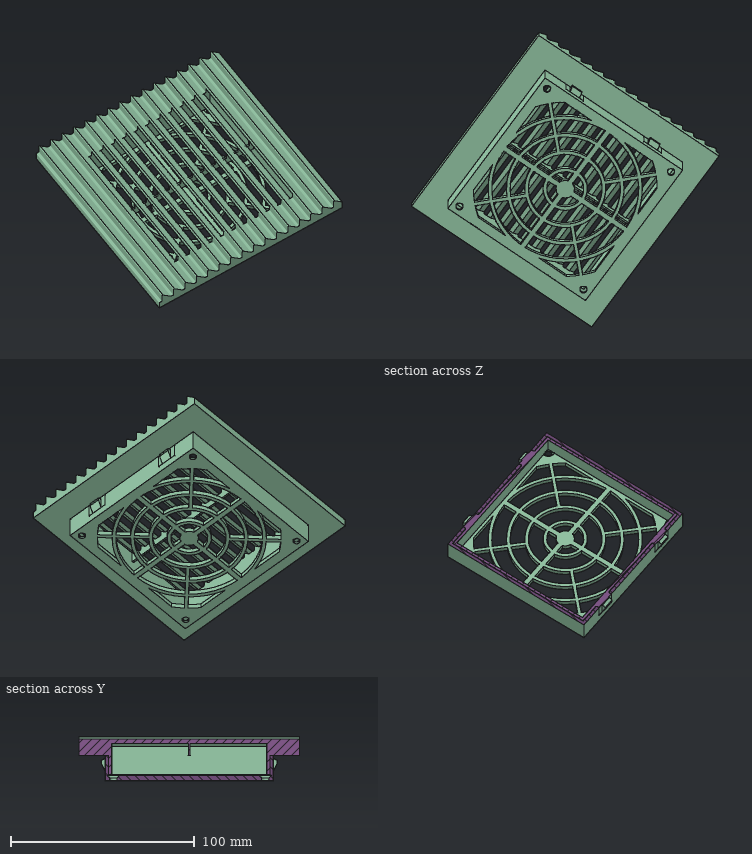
import cadquery as cq
PLATE_SIZE = 120.0
PLATE_BOTTOM = 13.7
PLATE_TOP = 18.7
TOTAL_HEIGHT = 24.0
OPENING = 84.0

TOOTH_COUNT = 16
TOOTH_PITCH = PLATE_SIZE / TOOTH_COUNT
TOOTH_DEPTH = 5.8
EDGE_RADIUS = 0.5
TIP_WIDTH = 0.7
TOOTH_RUN = TIP_WIDTH + TOTAL_HEIGHT - PLATE_TOP
BLADE_NOSE = 1.9
RIB_WIDTH = 1.0

BOX_SIZE = 91.5
BOX_WALL = 1.8
BOX_INNER = BOX_SIZE - 2 * BOX_WALL
FLOOR_TOP = 3.0
SKIRT_BOTTOM = 3.4

CLIP_OFFSET = 25.9
CLIP_WIDTH = 11.8
CLIP_BOTTOM = PLATE_BOTTOM - 8.6
CATCH_WIDTH = 6.2
CATCH_REACH = 2.2
CATCH_TOP = PLATE_BOTTOM - 1.5
CATCH_SHOULDER = PLATE_BOTTOM - 2.5
CATCH_EDGE = PLATE_BOTTOM - 4.1

AIR_HOLE_SIZE = 80.9
AIR_HOLE_RADIUS = 49.9
CROSS_BAR_WIDTH = 3.0
DIAGONAL_BAR_WIDTH = 2.0
RING_RADII = (11.0, 21.0, 31.0, 40.9)
RING_WIDTH = 2.0
DIAGONAL_START = RING_RADII[1]
HUB_RADIUS = 5.0

SCREW_OFFSET = 41.3
SCREW_RADIUS = 1.9
HEAD_RADIUS = 3.4


def slab(size_x, size_y, bottom, top):
    block = cq.Workplane("XY").box(size_x, size_y, top - bottom, centered=(True, True, False))
    return block.translate((0, 0, bottom))


def disc(radius, bottom, top):
    return cq.Workplane("XY").workplane(offset=bottom).circle(radius).extrude(top - bottom)


def tooth_front(index):
    return PLATE_SIZE / 2 - index * TOOTH_PITCH - TOOTH_DEPTH


def is_rounded(edge):
    center = edge.Center()
    if center.z < PLATE_TOP - EDGE_RADIUS or center.y > PLATE_SIZE / 2 - EDGE_RADIUS:
        return False
    fronts = [tooth_front(index) for index in range(TOOTH_COUNT)]
    return not any(abs(center.y - front - TIP_WIDTH) < TIP_WIDTH / 2 for front in fronts)


def toothed_plate():
    half = PLATE_SIZE / 2
    outline = [(-half, PLATE_BOTTOM), (half, PLATE_BOTTOM)]
    for index in range(TOOTH_COUNT):
        front = tooth_front(index)
        foot = min(front + TOOTH_RUN, half)
        outline.append((foot, PLATE_TOP + front + TOOTH_RUN - foot))
        outline.append((front + TIP_WIDTH, TOTAL_HEIGHT))
        outline.append((front, TOTAL_HEIGHT))
        outline.append((front, PLATE_TOP))
    outline.append((-half, PLATE_TOP))
    plate = cq.Workplane("YZ").polyline(outline).close().extrude(half, both=True)
    return plate.edges("|X").filter(is_rounded).fillet(EDGE_RADIUS)


def blade(front):
    nose_bottom = TOTAL_HEIGHT - BLADE_NOSE
    outline = [
        (front + TOOTH_RUN, PLATE_TOP),
        (front + TIP_WIDTH, TOTAL_HEIGHT),
        (front, TOTAL_HEIGHT),
        (front, nose_bottom),
        (front + nose_bottom - PLATE_TOP, PLATE_TOP),
    ]
    return cq.Workplane("YZ").polyline(outline).close().extrude(PLATE_SIZE / 2, both=True)


def louvre_opening():
    opening = slab(OPENING, OPENING, PLATE_BOTTOM, TOTAL_HEIGHT)
    opening = opening.cut(slab(RIB_WIDTH, OPENING, PLATE_BOTTOM, TOTAL_HEIGHT))
    for index in range(TOOTH_COUNT):
        opening = opening.cut(blade(tooth_front(index)))
    return opening


def clip_pad(y, wall_inside, wall_outside):
    pad = cq.Workplane("XY").box(wall_outside - wall_inside, CLIP_WIDTH, PLATE_BOTTOM - CLIP_BOTTOM,
                                 centered=(False, True, False))
    return pad.translate((wall_inside, y, CLIP_BOTTOM))


def clip(y):
    outside = BOX_SIZE / 2
    catch = (
        cq.Workplane("XZ", origin=(0, y, 0))
        .moveTo(outside, CLIP_BOTTOM)
        .lineTo(outside + CATCH_REACH, CATCH_EDGE)
        .lineTo(outside + CATCH_REACH, CATCH_SHOULDER)
        .lineTo(outside, CATCH_TOP)
        .close()
        .extrude(CATCH_WIDTH / 2, both=True)
    )
    return clip_pad(y, BOX_INNER / 2, outside).union(catch)


def make_cover():
    cover = toothed_plate().cut(louvre_opening())
    skirt = slab(BOX_INNER, BOX_INNER, SKIRT_BOTTOM, PLATE_BOTTOM)
    cover = cover.union(skirt.cut(slab(OPENING, OPENING, SKIRT_BOTTOM, PLATE_BOTTOM)))
    for y in (-CLIP_OFFSET, CLIP_OFFSET):
        cover = cover.union(clip(y)).union(clip(y).mirror("YZ"))
    return cover


def air_hole():
    return slab(AIR_HOLE_SIZE, AIR_HOLE_SIZE, 0, FLOOR_TOP).intersect(disc(AIR_HOLE_RADIUS, 0, FLOOR_TOP))


def crossed_bars(width, angle):
    bar = slab(2 * AIR_HOLE_RADIUS, width, 0, FLOOR_TOP)
    bars = bar.union(bar.rotate((0, 0, 0), (0, 0, 1), 90))
    return bars.rotate((0, 0, 0), (0, 0, 1), angle)


def grille():
    bars = crossed_bars(DIAGONAL_BAR_WIDTH, 45).cut(disc(DIAGONAL_START, 0, FLOOR_TOP))
    bars = bars.union(crossed_bars(CROSS_BAR_WIDTH, 0)).union(disc(HUB_RADIUS, 0, FLOOR_TOP))
    for radius in RING_RADII:
        ring = disc(radius + RING_WIDTH / 2, 0, FLOOR_TOP)
        bars = bars.union(ring.cut(disc(radius - RING_WIDTH / 2, 0, FLOOR_TOP)))
    return bars


def screw_hole(x, y):
    head_bottom = FLOOR_TOP - (HEAD_RADIUS - SCREW_RADIUS)
    outline = [(0, 0), (SCREW_RADIUS, 0), (SCREW_RADIUS, head_bottom), (HEAD_RADIUS, FLOOR_TOP), (0, FLOOR_TOP)]
    hole = cq.Workplane("XZ").polyline(outline).close().revolve(360, (0, 0, 0), (0, 1, 0))
    return hole.translate((x, y, 0))


def make_box():
    box = slab(BOX_SIZE, BOX_SIZE, 0, PLATE_BOTTOM).cut(slab(BOX_INNER, BOX_INNER, FLOOR_TOP, PLATE_BOTTOM))
    box = box.cut(air_hole().cut(grille()))
    for x in (-SCREW_OFFSET, SCREW_OFFSET):
        for y in (-SCREW_OFFSET, SCREW_OFFSET):
            box = box.cut(screw_hole(x, y))
    for y in (-CLIP_OFFSET, CLIP_OFFSET):
        notch = clip_pad(y, BOX_INNER / 2, BOX_SIZE / 2)
        box = box.cut(notch).cut(notch.mirror("YZ"))
    return box


cover = make_cover()
box = make_box()
result = cq.Compound.makeCompound([*cover.solids().vals(), *box.solids().vals()])